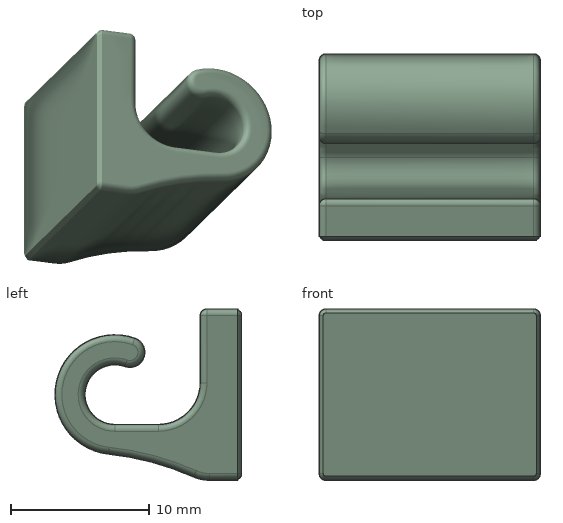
import cadquery as cq
import math

width = 16.0
height = 12.4
depth = 13.49

plate_thickness = 3.0
floor_height = 4.05
channel_corner_radius = 3.0

hook_outer_radius = 4.33
hook_inner_radius = 2.15
tip_angle = 19.5
underside_start_angle = 6.0

heel_start_y = 2.33
heel_radius = 2.8
heel_angle = 24.0

edge_fillet = 0.5
back_chamfer = 0.3

hook_center_y = depth - hook_outer_radius
hook_center_z = floor_height + hook_inner_radius
band_middle_radius = (hook_outer_radius + hook_inner_radius) / 2
tip_radius = (hook_outer_radius - hook_inner_radius) / 2


def polar(center, radius, degrees):
    """Point in the YZ plane at an angle measured from +Y towards +Z."""
    angle = math.radians(degrees)
    return (center[0] + radius * math.cos(angle), center[1] + radius * math.sin(angle))


def make_body():
    """Hook profile in the YZ plane, extruded along X about the middle plane."""
    hook_center = (hook_center_y, hook_center_z)
    tip_direction = 90 + tip_angle
    tip_center = polar(hook_center, band_middle_radius, tip_direction)
    inner_tip = polar(hook_center, hook_inner_radius, tip_direction)
    outer_tip = polar(hook_center, hook_outer_radius, tip_direction)
    tip_end = polar(tip_center, tip_radius, tip_direction + 90)

    channel_center = (plate_thickness + channel_corner_radius, floor_height + channel_corner_radius)
    underside_start = polar(hook_center, hook_outer_radius, underside_start_angle - 90)
    heel_center = (heel_start_y, heel_radius)
    heel_end = polar(heel_center, heel_radius, heel_angle - 90)
    heel_middle = polar(heel_center, heel_radius, heel_angle / 2 - 90)

    return (
        cq.Workplane("YZ")
        .lineTo(0, height)
        .lineTo(plate_thickness, height)
        .lineTo(plate_thickness, channel_center[1])
        .threePointArc(polar(channel_center, channel_corner_radius, 225), (channel_center[0], floor_height))
        .lineTo(hook_center_y, floor_height)
        .threePointArc(polar(hook_center, hook_inner_radius, 0), inner_tip)
        .threePointArc(tip_end, outer_tip)
        .threePointArc(polar(hook_center, hook_outer_radius, 0), underside_start)
        .tangentArcPoint(heel_end, relative=False)
        .threePointArc(heel_middle, (heel_start_y, 0))
        .close()
        .extrude(width / 2, both=True)
    )


def round_edges(body):
    """Round the plate's free top edge and both side outlines, except along the back face."""
    plate_top_edge = cq.selectors.NearestToPointSelector((0, plate_thickness, height))
    back_edges = cq.selectors.BoxSelector((-width, -edge_fillet, -height), (width, edge_fillet, 2 * height))
    side_outlines = cq.selectors.InverseSelector(back_edges)
    body = body.edges(plate_top_edge).fillet(edge_fillet)
    return body.faces("<X or >X").edges(side_outlines).fillet(edge_fillet)


def chamfer_back(body):
    """Bevel the whole outline of the mounting face."""
    return body.faces("<Y").edges().chamfer(back_chamfer)


result = chamfer_back(round_edges(make_body()))